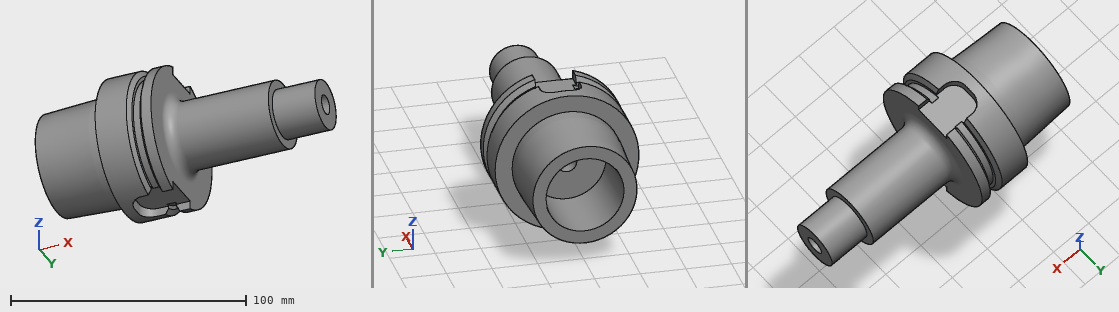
import cadquery as cq

taper_length = 25.7
taper_small_radius = 22.8
taper_large_radius = 24.0
flange_start = 32.0
bore_radius = 17.0
bore_depth = flange_start
through_hole_radius = 4.3

flange_diameter = 63.0
flange_radius = flange_diameter / 2
flange_end = 58.0
groove_start = 46.5
groove_end = 53.3
groove_floor_radius = 27.5
groove_wall_top_radius = 29.1
groove_chamfer_width = 1.5
groove_floor_start = groove_start + groove_chamfer_width
groove_floor_end = groove_end - groove_chamfer_width

spindle_radius = 15.0
spindle_end = 105.4
spindle_fillet = 4.8
tip_radius = 11.0
total_length = 125.3

slot_start = 37.2
slot_width = 17.8
slot_corner_radius = 6.3
slot_floor_height = 26.5


def make_body():
    """Revolve the outer profile about the X axis."""
    profile = (
        cq.Workplane("XY")
        .lineTo(0, taper_small_radius)
        .lineTo(taper_length, taper_large_radius)
        .lineTo(flange_start, taper_large_radius)
        .lineTo(flange_start, flange_radius)
        .lineTo(groove_start, flange_radius)
        .lineTo(groove_floor_start, groove_wall_top_radius)
        .lineTo(groove_floor_start, groove_floor_radius)
        .lineTo(groove_floor_end, groove_floor_radius)
        .lineTo(groove_floor_end, groove_wall_top_radius)
        .lineTo(groove_end, flange_radius)
        .lineTo(flange_end, flange_radius)
        .lineTo(flange_end, spindle_radius + spindle_fillet)
        .radiusArc((flange_end + spindle_fillet, spindle_radius), -spindle_fillet)
        .lineTo(spindle_end, spindle_radius)
        .lineTo(spindle_end, tip_radius)
        .lineTo(total_length, tip_radius)
        .lineTo(total_length, 0)
        .close()
    )
    return profile.revolve(360, (0, 0, 0), (1, 0, 0))


def make_slot():
    """Drive slot cutter on the +Z side, rounded at its closed end and open toward the spindle."""
    length = flange_end - slot_start
    depth = flange_radius - slot_floor_height
    return (
        cq.Workplane("XY", origin=(slot_start, 0, slot_floor_height))
        .box(length, slot_width, depth, centered=(False, True, False))
        .edges("|Z and <X")
        .fillet(slot_corner_radius)
    )


body = make_body()

bore = cq.Workplane("YZ").circle(bore_radius).extrude(bore_depth)
through_hole = cq.Workplane("YZ").circle(through_hole_radius).extrude(total_length)
body = body.cut(bore).cut(through_hole)

for angle in (0, 180):
    body = body.cut(make_slot().rotate((0, 0, 0), (1, 0, 0), angle))

result = body